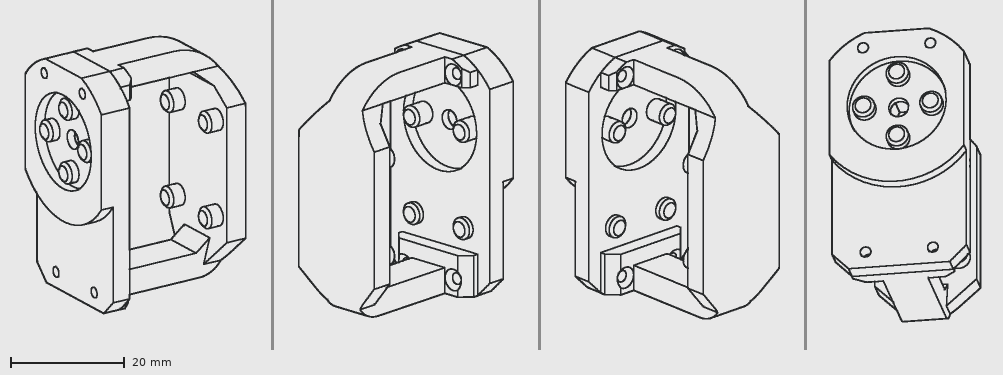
import cadquery as cq
import math


TOP_Z = 13.85
TOTAL_HEIGHT = 43.85
TOTAL_DEPTH = 32.5
BOTTOM_Z = TOP_Z - TOTAL_HEIGHT
BOSS_RADIUS = 15.0
SCREW_X = 6.0
SCREW_TOP_Z = 11.0
SCREW_BOTTOM_Z = -27.0
SCREW_SPOTS = [(x, z) for x in (-SCREW_X, SCREW_X) for z in (SCREW_TOP_Z, SCREW_BOTTOM_Z)]

PIN_DIAMETER = 3.95
PIN_CHAMFER = 0.55
PIN_PITCH = 6.0
GRIP_PIN_LOW_Z = -18.0
GRIP_PIN_SPOTS = [(x, z) for x in (-PIN_PITCH, PIN_PITCH) for z in (0, GRIP_PIN_LOW_Z)]

PLATE_WIDTH = 24.0
BOSS_THICKNESS = 6.0
PLATE_THICKNESS = 3.5
PLATE_CORNER = 3.0
POCKET_DIAMETER = 17.65
POCKET_DEPTH = 2.0
CENTRE_HOLE_DIAMETER = 3.5
PLATE_HOLE_DIAMETER = 1.9
BACK_RECESS_DEPTH = 2.4
PLATE_PIN_REACH = 1.5

BRACKET_DEPTH = TOTAL_DEPTH - BOSS_THICKNESS
BRACKET_WIDTH = 18.2
ARM_WIDTH = 7.98
ARM_THICKNESS = 4.78
ARM_TOP_INNER_Z = TOP_Z - ARM_THICKNESS
ARM_BOTTOM_INNER_Z = BOTTOM_Z + ARM_THICKNESS
OUTER_TOP_RADIUS = 12.0
OUTER_BOTTOM_RADIUS = 5.55
WALL_THICKNESS = 4.05
WALL_INNER_Y = BRACKET_DEPTH - WALL_THICKNESS
WALL_TOP_Z = 3.15
WALL_BOTTOM_Z = -22.25
WALL_TIP_Z = -27.65
LOWER_RUN = 1.5
LOWER_LEAN = LOWER_RUN / (WALL_BOTTOM_Z - WALL_TIP_Z)
UPPER_KNEE_Z = 6.55
UPPER_KNEE_RUN = 0.75
UPPER_GUSSET_RUN = 3.65
LOWER_GUSSET_Z = -22.8
LOWER_GUSSET_RUN = 3.05
WALL_PIN_LENGTH = 3.0
TAB_THICKNESS = 3.0
TOP_TAB_CHAMFER = 1.0
BOTTOM_TAB_CHAMFER = 2.0
TAB_HOLE_DIAMETER = 2.1
COUNTERSINK_DIAMETER = 3.95
COUNTERSINK_ANGLE = 90


def cylinder_y(diameter, x, z, y_start, length):
    """Cylinder along Y from y_start; a negative length runs toward -Y."""
    direction = cq.Vector(0, math.copysign(1, length), 0)
    solid = cq.Solid.makeCylinder(diameter / 2, abs(length), cq.Vector(x, y_start, z), direction)
    return cq.Workplane(solid)


def pin(x, z, y_base, length):
    """Pin along Y with a chamfered free end."""
    free_end = ">Y" if length > 0 else "<Y"
    return cylinder_y(PIN_DIAMETER, x, z, y_base, length).faces(free_end).chamfer(PIN_CHAMFER)


def extrude_along_y(outline_points, y_start, y_end):
    """Prism along Y over an outline given as (x, z) points."""
    plane = cq.Workplane("XZ", origin=(0, y_start, 0))
    return plane.polyline(outline_points).close().extrude(y_start - y_end)


def extrude_across_x(profile_points, width):
    """Prism centred on x = 0 over an outline given as (y, z) points."""
    return cq.Workplane("YZ").polyline(profile_points).close().extrude(width / 2, both=True)


def z_band(width, z_low, z_high, y_start, y_end):
    """Box centred on x = 0 between two heights."""
    size_y = y_end - y_start
    box = cq.Workplane("XY").box(width, size_y, z_high - z_low, centered=(True, False, False))
    return box.translate((0, y_start, z_low))


def make_plate():
    upper = cylinder_y(2 * BOSS_RADIUS, 0, 0, 0, -BOSS_THICKNESS).intersect(
        z_band(PLATE_WIDTH, -BOSS_RADIUS, TOP_Z, -BOSS_THICKNESS, 0)
    )
    lower = z_band(PLATE_WIDTH, BOTTOM_Z, 0, -PLATE_THICKNESS, 0)
    lower = lower.edges("|Y and <Z").chamfer(PLATE_CORNER)
    plate = upper.union(lower)

    plate = plate.cut(cylinder_y(POCKET_DIAMETER, 0, 0, -BOSS_THICKNESS, POCKET_DEPTH))
    plate = plate.cut(cylinder_y(POCKET_DIAMETER, 0, 0, 0, -BACK_RECESS_DEPTH))
    plate = plate.cut(cylinder_y(CENTRE_HOLE_DIAMETER, 0, 0, 0, -BOSS_THICKNESS))
    for x, z in SCREW_SPOTS:
        plate = plate.cut(cylinder_y(PLATE_HOLE_DIAMETER, x, z, 0, -BOSS_THICKNESS))

    for x, z in [(PIN_PITCH, 0), (0, PIN_PITCH), (-PIN_PITCH, 0), (0, -PIN_PITCH)]:
        plate = plate.union(pin(x, z, POCKET_DEPTH - BOSS_THICKNESS, -POCKET_DEPTH))

    for x, z in GRIP_PIN_SPOTS:
        sunk = BACK_RECESS_DEPTH if z == 0 else 0
        plate = plate.union(pin(x, z, -sunk, sunk + PLATE_PIN_REACH))
    return plate


def bracket_envelope():
    """Full-width block with the bracket's outer side outline."""
    lean_run = LOWER_LEAN * (WALL_BOTTOM_Z - BOTTOM_Z)
    outline = [
        (0, BOTTOM_Z),
        (BRACKET_DEPTH - lean_run, BOTTOM_Z),
        (BRACKET_DEPTH, WALL_BOTTOM_Z),
        (BRACKET_DEPTH, TOP_Z),
        (0, TOP_Z),
    ]
    block = extrude_across_x(outline, BRACKET_WIDTH)
    block = block.edges("|X and >Z and >Y").fillet(OUTER_TOP_RADIUS)
    return block.faces("<Z").edges(">Y").fillet(OUTER_BOTTOM_RADIUS)


def make_arms(envelope):
    """Narrow U with gussets in both inner corners."""
    opening = [
        (0, ARM_BOTTOM_INNER_Z),
        (WALL_INNER_Y - LOWER_GUSSET_RUN, ARM_BOTTOM_INNER_Z),
        (WALL_INNER_Y, LOWER_GUSSET_Z),
        (WALL_INNER_Y, WALL_TOP_Z),
        (WALL_INNER_Y - UPPER_KNEE_RUN, UPPER_KNEE_Z),
        (WALL_INNER_Y - UPPER_GUSSET_RUN, ARM_TOP_INNER_Z),
        (0, ARM_TOP_INNER_Z),
    ]
    strip = z_band(ARM_WIDTH, BOTTOM_Z, TOP_Z, 0, BRACKET_DEPTH)
    return envelope.intersect(strip).cut(extrude_across_x(opening, ARM_WIDTH))


def make_wall(envelope):
    """Wide wall, bevelled down to the arm width at both ends."""
    side_profile = [
        (BRACKET_DEPTH, WALL_TIP_Z),
        (WALL_INNER_Y - LOWER_RUN, WALL_TIP_Z),
        (WALL_INNER_Y, WALL_BOTTOM_Z),
        (WALL_INNER_Y, WALL_TOP_Z),
        (WALL_INNER_Y - UPPER_KNEE_RUN, UPPER_KNEE_Z),
        (WALL_INNER_Y - UPPER_GUSSET_RUN, ARM_TOP_INNER_Z),
        (BRACKET_DEPTH, ARM_TOP_INNER_Z),
    ]
    wide = BRACKET_WIDTH / 2
    narrow = ARM_WIDTH / 2
    face_outline = [
        (-narrow, WALL_TIP_Z),
        (narrow, WALL_TIP_Z),
        (wide, WALL_BOTTOM_Z),
        (wide, WALL_TOP_Z),
        (narrow, ARM_TOP_INNER_Z),
        (-narrow, ARM_TOP_INNER_Z),
        (-wide, WALL_TOP_Z),
        (-wide, WALL_BOTTOM_Z),
    ]
    wall = envelope.intersect(extrude_across_x(side_profile, BRACKET_WIDTH))
    return wall.intersect(extrude_along_y(face_outline, 0, BRACKET_DEPTH))


def make_tab(z_low, z_high, chamfer):
    """Screw tab with chamfered upright edges on its inner face."""
    tab = z_band(BRACKET_WIDTH, z_low, z_high, 0, TAB_THICKNESS)
    return tab.edges("|Z and >Y").chamfer(chamfer)


def screw_cutter(x, z):
    """Through hole with a countersink opening on the tab's inner face."""
    radius = COUNTERSINK_DIAMETER / 2
    depth = radius / math.tan(math.radians(COUNTERSINK_ANGLE / 2))
    start = cq.Vector(x, TAB_THICKNESS, z)
    cone = cq.Solid.makeCone(radius, 0, depth, start, cq.Vector(0, -1, 0))
    return cylinder_y(TAB_HOLE_DIAMETER, x, z, 0, TAB_THICKNESS).union(cq.Workplane(cone))


def make_bracket():
    envelope = bracket_envelope()
    top_tab = make_tab(ARM_TOP_INNER_Z, TOP_Z, TOP_TAB_CHAMFER)
    top_tab = top_tab.intersect(cylinder_y(2 * BOSS_RADIUS, 0, 0, 0, TAB_THICKNESS))
    bottom_tab = make_tab(BOTTOM_Z, WALL_BOTTOM_Z, BOTTOM_TAB_CHAMFER)

    bracket = make_arms(envelope).union(make_wall(envelope)).union(top_tab).union(bottom_tab)
    for x, z in SCREW_SPOTS:
        bracket = bracket.cut(screw_cutter(x, z))
    for x, z in GRIP_PIN_SPOTS:
        bracket = bracket.union(pin(x, z, WALL_INNER_Y, -WALL_PIN_LENGTH))
    return bracket


plate = make_plate()
bracket = make_bracket()

result = cq.Compound.makeCompound([plate.solids().val(), bracket.solids().val()])